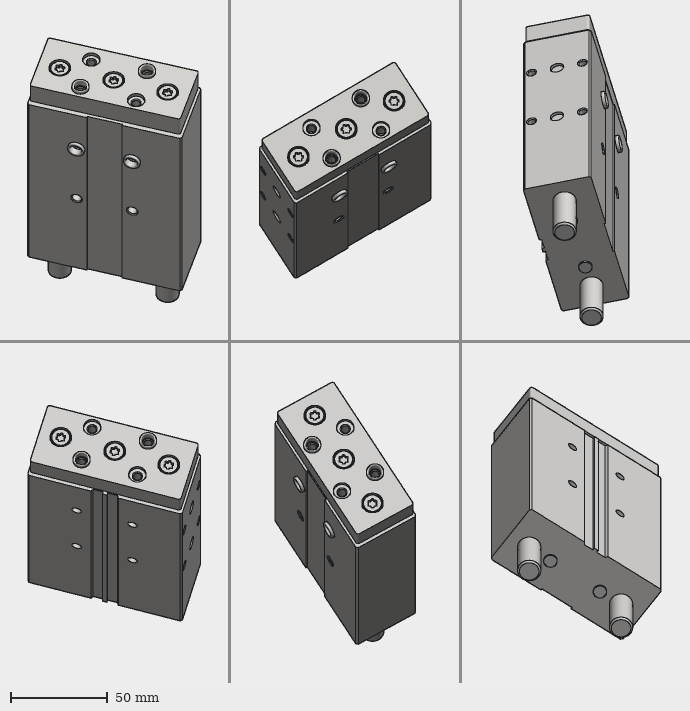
import cadquery as cq
import math


HOUSING_X = 83.0
HOUSING_Y = 36.0
HOUSING_Z = 121.0
HOUSING_CORNER = 1.0
FRONT_GROOVE_WIDTH = 18.9
FRONT_GROOVE_DEPTH = 0.8
BACK_GROOVE_WIDTH = 13.0
BACK_GROOVE_FLARE = 0.8
BACK_GROOVE_DEPTH = 1.3
BACK_RIB_WIDTH = 2.5

PLATE_X = 80.9
PLATE_Y = 34.0
PLATE_Z = 12.0
PLATE_GAP = 2.0
PLATE_CORNER = 1.3
HOLE_SPACING_X = 30.0
PLATE_HOLE_SPACING_Y = 19.9

ROD_Y = -1.0
GUIDE_SPACING = 58.0
GUIDE_DIAMETER = 12.0
GUIDE_OVERHANG = 26.0
GUIDE_CHAMFER = 1.0
PISTON_ROD_DIAMETER = 9.0
PISTON_ROD_INSERTION = 32.5

SCREW_RECESS_DIAMETER = 11.0
SCREW_RECESS_DEPTH = 2.0
SCREW_HEAD_DIAMETER = 10.0
SCREW_HEAD_SINK = 0.3
SCREW_HEAD_CHAMFER = 0.3
SOCKET_DEPTH = 2.0
SOCKET_CORE_DIAMETER = 3.9
SOCKET_LOBE_DIAMETER = 1.5
SOCKET_DIAMETER = 5.2
SOCKET_LOBES = 6

SLEEVE_DIAMETER = 9.0
SLEEVE_BORE = 6.3
SLEEVE_PROTRUSION = 1.8
SEAT_DEPTH = 2.1
HOUSING_HOLE_DIAMETER = 5.0
HOUSING_COUNTERSINK_DIAMETER = 6.2
PLATE_HOLE_DIAMETER = 4.0
PLATE_COUNTERSINK_DIAMETER = 5.2

UPPER_LEVEL_FROM_TOP = 26.0
UPPER_LEVEL = HOUSING_Z - UPPER_LEVEL_FROM_TOP
LEVEL_SPACING = 40.0
LEVELS = (UPPER_LEVEL, UPPER_LEVEL - LEVEL_SPACING)
SIDE_HOLE_SPACING = 27.0
SIDE_HOLE_DIAMETER = 4.0
SIDE_COUNTERSINK_DIAMETER = 5.2
SIDE_HOLE_DEPTH = 9.8
DRILL_POINT_ANGLE = 118.0

PLUG_DIAMETER = 7.0
PLUG_LENGTH = 3.3
SIDE_PLUG_SINK = 1.6
BOTTOM_PLUG_PROTRUSION = 1.0
BOTTOM_PLUG_SPACING = 31.3

LEFT_X = -HOUSING_X / 2
FRONT_Y = -HOUSING_Y / 2
BACK_Y = HOUSING_Y / 2
PLATE_BOTTOM = HOUSING_Z + PLATE_GAP
PLATE_TOP = PLATE_BOTTOM + PLATE_Z
HOLE_X = (-HOLE_SPACING_X / 2, HOLE_SPACING_X / 2)
GUIDE_X = (-GUIDE_SPACING / 2, GUIDE_SPACING / 2)
PLATE_HOLE_Y = (ROD_Y - PLATE_HOLE_SPACING_Y / 2, ROD_Y + PLATE_HOLE_SPACING_Y / 2)
BOTTOM_PLUG_X = (-BOTTOM_PLUG_SPACING / 2, BOTTOM_PLUG_SPACING / 2)

INTO_LEFT = cq.Vector(1, 0, 0)
INTO_FRONT = cq.Vector(0, 1, 0)
DOWN = cq.Vector(0, 0, -1)
UP = cq.Vector(0, 0, 1)


def cylinder(diameter, length, start, direction):
    return cq.Workplane(cq.Solid.makeCylinder(diameter / 2, length, start, direction))


def countersink(outer_diameter, hole_diameter, start, direction):
    """45 degree cone that narrows from the surface to the hole."""
    depth = (outer_diameter - hole_diameter) / 2
    return cq.Workplane(
        cq.Solid.makeCone(outer_diameter / 2, hole_diameter / 2, depth, start, direction)
    )


def mounting_hole(diameter, countersink_diameter, length, start, direction, seated):
    """Countersunk through hole; a seated one starts with a counterbore for a sleeve."""
    hole = cylinder(diameter, length, start, direction)
    shoulder = start
    if seated:
        hole = hole.union(cylinder(SLEEVE_DIAMETER, SEAT_DEPTH, start, direction))
        shoulder = start + direction * SEAT_DEPTH
    return hole.union(countersink(countersink_diameter, diameter, shoulder, direction))


def side_hole(start):
    """Blind hole with a countersunk mouth and a drill point."""
    radius = SIDE_HOLE_DIAMETER / 2
    point_depth = radius / math.tan(math.radians(DRILL_POINT_ANGLE / 2))
    point_start = start + INTO_LEFT * SIDE_HOLE_DEPTH
    point = cq.Workplane(cq.Solid.makeCone(radius, 0, point_depth, point_start, INTO_LEFT))
    return (
        cylinder(SIDE_HOLE_DIAMETER, SIDE_HOLE_DEPTH, start, INTO_LEFT)
        .union(point)
        .union(countersink(SIDE_COUNTERSINK_DIAMETER, SIDE_HOLE_DIAMETER, start, INTO_LEFT))
    )


def front_groove():
    return cq.Workplane("XY").box(
        FRONT_GROOVE_WIDTH, 2 * FRONT_GROOVE_DEPTH, HOUSING_Z, centered=(True, True, False)
    ).translate((0, FRONT_Y, 0))


def back_groove():
    """Flared groove along the back with a narrow rib left standing in its middle."""
    floor_y = BACK_Y - BACK_GROOVE_DEPTH
    floor_x = BACK_GROOVE_WIDTH / 2
    mouth_x = floor_x + BACK_GROOVE_FLARE
    groove = (
        cq.Workplane("XY")
        .polyline([(-floor_x, floor_y), (floor_x, floor_y), (mouth_x, BACK_Y), (-mouth_x, BACK_Y)])
        .close()
        .extrude(HOUSING_Z)
    )
    rib = cq.Workplane("XY").box(
        BACK_RIB_WIDTH, HOUSING_Y, HOUSING_Z, centered=(True, True, False)
    )
    return groove.cut(rib)


def make_housing():
    housing = (
        cq.Workplane("XY")
        .box(HOUSING_X, HOUSING_Y, HOUSING_Z, centered=(True, True, False))
        .edges("|Z")
        .chamfer(HOUSING_CORNER)
        .cut(front_groove())
        .cut(back_groove())
    )
    for x in GUIDE_X:
        housing = housing.cut(cylinder(GUIDE_DIAMETER, HOUSING_Z, cq.Vector(x, ROD_Y, 0), UP))
    piston_top = cq.Vector(0, ROD_Y, HOUSING_Z)
    housing = housing.cut(cylinder(PISTON_ROD_DIAMETER, PISTON_ROD_INSERTION, piston_top, DOWN))
    for z in LEVELS:
        for x in HOLE_X:
            start = cq.Vector(x, FRONT_Y, z)
            hole = mounting_hole(
                HOUSING_HOLE_DIAMETER,
                HOUSING_COUNTERSINK_DIAMETER,
                HOUSING_Y,
                start,
                INTO_FRONT,
                seated=(z == UPPER_LEVEL),
            )
            housing = housing.cut(hole)
    for z in LEVELS:
        for y in (-SIDE_HOLE_SPACING / 2, SIDE_HOLE_SPACING / 2):
            housing = housing.cut(side_hole(cq.Vector(LEFT_X, y, z)))
        port_depth = SIDE_PLUG_SINK + PLUG_LENGTH
        housing = housing.cut(
            cylinder(PLUG_DIAMETER, port_depth, cq.Vector(LEFT_X, 0, z), INTO_LEFT)
        )
    for x in BOTTOM_PLUG_X:
        port_depth = PLUG_LENGTH - BOTTOM_PLUG_PROTRUSION
        housing = housing.cut(cylinder(PLUG_DIAMETER, port_depth, cq.Vector(x, ROD_Y, 0), UP))
    return housing


def screw_head(x):
    """Chamfered screw head standing on the floor of its recess."""
    floor = cq.Vector(x, ROD_Y, PLATE_TOP - SCREW_RECESS_DEPTH)
    head = cylinder(SCREW_HEAD_DIAMETER, SCREW_RECESS_DEPTH - SCREW_HEAD_SINK, floor, UP)
    return head.faces(">Z").chamfer(SCREW_HEAD_CHAMFER)


def screw_socket(x):
    """Six-lobed socket, with one lobe pointing along +Y."""
    head_top = cq.Vector(x, ROD_Y, PLATE_TOP - SCREW_HEAD_SINK)
    socket = cylinder(SOCKET_CORE_DIAMETER, SOCKET_DEPTH, head_top, DOWN)
    lobe_radius = (SOCKET_DIAMETER - SOCKET_LOBE_DIAMETER) / 2
    for i in range(SOCKET_LOBES):
        angle = 2 * math.pi * i / SOCKET_LOBES
        offset = cq.Vector(lobe_radius * math.sin(angle), lobe_radius * math.cos(angle), 0)
        socket = socket.union(
            cylinder(SOCKET_LOBE_DIAMETER, SOCKET_DEPTH, head_top + offset, DOWN)
        )
    return socket


def guide_rod(x):
    length = GUIDE_OVERHANG + PLATE_BOTTOM
    rod = cylinder(GUIDE_DIAMETER, length, cq.Vector(x, ROD_Y, -GUIDE_OVERHANG), UP)
    return rod.faces("<Z").chamfer(GUIDE_CHAMFER)


def make_carriage():
    """Yoke plate with the two guide rods, the piston rod and the screw heads."""
    carriage = (
        cq.Workplane("XY")
        .box(PLATE_X, PLATE_Y, PLATE_Z, centered=(True, True, False))
        .edges("|Z")
        .fillet(PLATE_CORNER)
        .translate((0, 0, PLATE_BOTTOM))
    )
    for x in HOLE_X:
        for y in PLATE_HOLE_Y:
            start = cq.Vector(x, y, PLATE_TOP)
            hole = mounting_hole(
                PLATE_HOLE_DIAMETER, PLATE_COUNTERSINK_DIAMETER, PLATE_Z, start, DOWN, seated=True
            )
            carriage = carriage.cut(hole)
    for x in (*GUIDE_X, 0):
        recess_top = cq.Vector(x, ROD_Y, PLATE_TOP)
        recess = cylinder(SCREW_RECESS_DIAMETER, SCREW_RECESS_DEPTH, recess_top, DOWN)
        carriage = carriage.cut(recess).union(screw_head(x)).cut(screw_socket(x))
    for x in GUIDE_X:
        carriage = carriage.union(guide_rod(x))
    piston_length = PLATE_GAP + PISTON_ROD_INSERTION
    piston_top = cq.Vector(0, ROD_Y, PLATE_BOTTOM)
    return carriage.union(cylinder(PISTON_ROD_DIAMETER, piston_length, piston_top, DOWN))


def make_sleeve(surface_point, inward):
    """Locating sleeve with a fully rounded rim, standing on the floor of its seat."""
    inner = SLEEVE_BORE / 2
    outer = SLEEVE_DIAMETER / 2
    rim_radius = (outer - inner) / 2
    shoulder = SLEEVE_PROTRUSION - rim_radius
    frame = cq.Plane(origin=surface_point, xDir=cq.Vector(1, 0, 0), normal=inward * -1)
    frame = frame.rotated((90, 0, 0))
    return (
        cq.Workplane(frame)
        .moveTo(inner, -SEAT_DEPTH)
        .lineTo(outer, -SEAT_DEPTH)
        .lineTo(outer, shoulder)
        .threePointArc((inner + rim_radius, SLEEVE_PROTRUSION), (inner, shoulder))
        .close()
        .revolve(360, (0, 0), (0, 1))
    )


def make_plug(face_point, inward):
    return cylinder(PLUG_DIAMETER, PLUG_LENGTH, face_point, inward)


housing = make_housing()
carriage = make_carriage()

sleeves = []
for x in HOLE_X:
    sleeves.append(make_sleeve(cq.Vector(x, FRONT_Y, UPPER_LEVEL), INTO_FRONT).val())
for x, y in zip(HOLE_X, PLATE_HOLE_Y):
    sleeves.append(make_sleeve(cq.Vector(x, y, PLATE_TOP), DOWN).val())

plugs = []
for z in LEVELS:
    plugs.append(make_plug(cq.Vector(LEFT_X + SIDE_PLUG_SINK, 0, z), INTO_LEFT).val())
for x in BOTTOM_PLUG_X:
    plugs.append(make_plug(cq.Vector(x, ROD_Y, -BOTTOM_PLUG_PROTRUSION), UP).val())

result = cq.Compound.makeCompound([housing.val(), carriage.val(), *sleeves, *plugs])